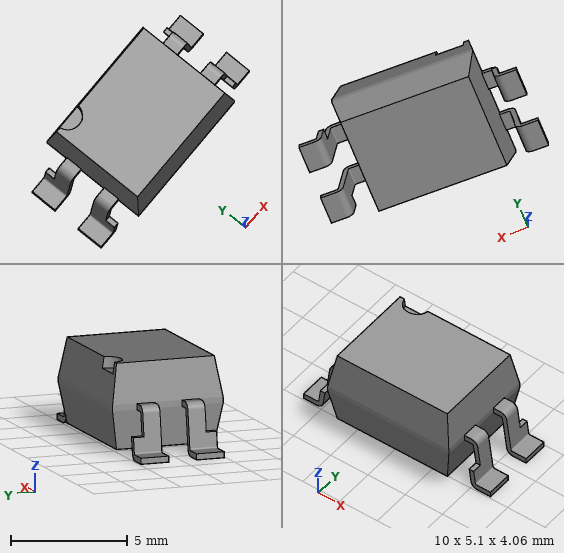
import cadquery as cq
import math

OVERALL_LENGTH = 10.03
HOUSING_LENGTH = 6.5
HOUSING_WIDTH = 5.1
TOP_Z = 4.06
FACE_INSET = 0.296

LEAD_THICKNESS = 0.27
LEG_THICKNESS = 0.24
LEG_SLOPE = math.radians(8)
FOOT_CORNER = 0.8
OUTER_BEND_RADIUS = 0.35
INNER_BEND_RADIUS = 0.08
SHOULDER_TOP_Z = 2.29
LEAD_INNER_Y = 0.64
NARROW_WIDTH = 0.79
WIDE_WIDTH = 1.27
STEP_Z = 0.99

NOTCH_X = -2.1
NOTCH_RADIUS = 0.63
NOTCH_DEPTH = 0.5

BAND_TOP_Z = SHOULDER_TOP_Z
BAND_BOTTOM_Z = SHOULDER_TOP_Z - LEAD_THICKNESS
HOUSING_BOTTOM_Z = LEAD_THICKNESS
NOTCH_Y = HOUSING_WIDTH / 2 - FACE_INSET * (1 - NOTCH_DEPTH / (TOP_Z - BAND_TOP_Z))


def tapered_block(start_z, end_z):
    """Block with the full outline at start_z and the inset outline at end_z."""
    return (
        cq.Workplane("XY", origin=(0, 0, start_z))
        .rect(HOUSING_LENGTH, HOUSING_WIDTH)
        .workplane(offset=end_z - start_z)
        .rect(HOUSING_LENGTH - 2 * FACE_INSET, HOUSING_WIDTH - 2 * FACE_INSET)
        .loft(ruled=True)
    )


def make_housing():
    band = (
        cq.Workplane("XY", origin=(0, 0, BAND_BOTTOM_Z))
        .rect(HOUSING_LENGTH, HOUSING_WIDTH)
        .extrude(BAND_TOP_Z - BAND_BOTTOM_Z)
    )
    upper = tapered_block(BAND_TOP_Z, TOP_Z)
    lower = tapered_block(BAND_BOTTOM_Z, HOUSING_BOTTOM_Z)
    notch = (
        cq.Workplane("XY", origin=(NOTCH_X, NOTCH_Y, TOP_Z - NOTCH_DEPTH))
        .circle(NOTCH_RADIUS)
        .extrude(NOTCH_DEPTH)
    )
    return band.union(upper).union(lower).cut(notch)


def make_lead():
    """Lead on the -X, +Y corner; its wide part steps out toward +Y."""
    tip_x = -OVERALL_LENGTH / 2
    root_x = -HOUSING_LENGTH / 2

    def outer_leg_x(z):
        return tip_x + FOOT_CORNER + (z - LEAD_THICKNESS) * math.tan(LEG_SLOPE)

    def inner_leg_x(z):
        return outer_leg_x(z) + LEG_THICKNESS

    foot_inner = (outer_leg_x(LEAD_THICKNESS), LEAD_THICKNESS)
    foot_outer = (inner_leg_x(0), 0)
    shoulder_outer = (outer_leg_x(SHOULDER_TOP_Z), SHOULDER_TOP_Z)
    shoulder_inner = (inner_leg_x(BAND_BOTTOM_Z), BAND_BOTTOM_Z)
    profile = [
        (tip_x, 0),
        foot_outer,
        shoulder_inner,
        (root_x, BAND_BOTTOM_Z),
        (root_x, SHOULDER_TOP_Z),
        shoulder_outer,
        foot_inner,
        (tip_x, LEAD_THICKNESS),
    ]
    lead = (
        cq.Workplane("XZ", origin=(0, LEAD_INNER_Y, 0))
        .polyline(profile)
        .close()
        .extrude(-WIDE_WIDTH)
    )

    def round_bends(body, corners, radius):
        for x, z in corners:
            bend = cq.selectors.NearestToPointSelector((x, LEAD_INNER_Y + WIDE_WIDTH / 2, z))
            body = body.edges("|Y").edges(bend).fillet(radius)
        return body

    lead = round_bends(lead, [foot_outer, shoulder_outer], OUTER_BEND_RADIUS)
    lead = round_bends(lead, [foot_inner, shoulder_inner], INNER_BEND_RADIUS)

    step_cut = cq.Workplane("XY").box(
        root_x - tip_x,
        WIDE_WIDTH - NARROW_WIDTH,
        SHOULDER_TOP_Z - STEP_Z,
        centered=False,
    ).translate((tip_x, LEAD_INNER_Y + NARROW_WIDTH, STEP_Z))
    return lead.cut(step_cut)


housing = make_housing()

row_lead = make_lead()
leads = []
for lead in (row_lead, row_lead.mirror("XZ")):
    leads.append(lead.val())
    leads.append(lead.mirror("YZ").val())

result = cq.Compound.makeCompound([housing.val(), *leads])